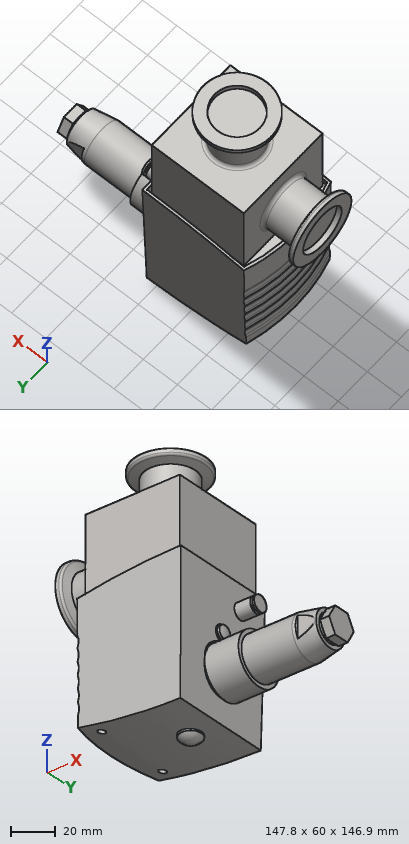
import math

import cadquery as cq


BLOCK_WIDTH = 54.0
BLOCK_TOP = 25.0
BLOCK_HALF = BLOCK_WIDTH / 2

PORT_REACH = 50.0
FLANGE_RADIUS = 20.0
FLANGE_RIM = 2.0
FLANGE_ROUND = 1.25
FLANGE_CONE_ANGLE = math.radians(15)
TUBE_RADIUS = 14.0
TUBE_FILLET = 2.0
BORE_RADIUS = 13.25
BORE_DEPTH = 3.0

COVER_WIDTH = 60.0
COVER_HALF = COVER_WIDTH / 2
COVER_BACK = 30.0
COVER_FRONT = -34.45
COVER_FRONT_BOW = 5.0
COVER_DRAFT = math.tan(math.radians(1))
COVER_TOP = -14.6
COVER_TOP_DROP = 5.8
COVER_BOTTOM_BACK = -93.45
COVER_BOTTOM_MIDDLE = -91.2
COVER_BOTTOM_MIDDLE_X = -3.0
COVER_BOTTOM_FRONT = -85.5
COVER_WALL = 1.5
COVER_FLOOR = -22.0

GROOVE_COUNT = 6
GROOVE_PITCH = 7.0
GROOVE_TOP = -38.2
GROOVE_FLANK_DEPTH = 0.4
GROOVE_DEPTH = 0.6
GROOVE_CLEARANCE = 1.0

SCREW_X = 11.5
SCREW_RADIUS = 6.15
SCREW_DOME_TOP = -93.9
SCREW_BOTTOM = -96.9
SCREW_ROOT = -85.0
VENT_X = -22.0
VENT_Y = 21.6
VENT_RADIUS = 2.0
VENT_TOP = -85.0

BACK_ROOT_X = 20.0

FITTING_Y = 12.8
FITTING_Z = -28.8
FITTING_RADIUS = 4.45
FITTING_GROOVE_RADIUS = 3.0
FITTING_GROOVE_START = 38.7
FITTING_GROOVE_END = 40.0
FITTING_END = 41.1

LAMP_Z = -46.4
LAMP_RIM_RADIUS = 4.5
LAMP_RIM_END = 29.9
LAMP_RADIUS = 3.9
LAMP_DOME_START = 31.1
LAMP_END = 31.6

CONNECTOR_Z = -67.75
NECK_RADIUS = 12.1
PLATE_END = 30.2
PLATE_RISE = 4.0
COLLAR_START = 31.1
COLLAR_END = 50.4
COLLAR_RADIUS = 14.45
BODY_RADIUS = 12.25
CONE_START = 79.2
CONE_END = 91.3
CONE_END_RADIUS = 10.1
FLAT_START = 81.0
FLAT_HALF_WIDTH = 10.2
HEX_NECK_RADIUS = 7.9
HEX_START = 92.5
HEX_END = 97.75
HEX_ACROSS_FLATS = 15.3


def arc_radius(half_chord, rise):
    """Radius of the arc that rises by `rise` over a chord of twice `half_chord`."""
    return (half_chord**2 + rise**2) / (2 * rise)


FRONT_RADIUS = arc_radius(COVER_HALF, COVER_FRONT_BOW)
FRONT_AXIS_X = COVER_FRONT + FRONT_RADIUS


def rod(start_x, end_x, radius, y=0.0, z=0.0):
    """Cylinder along X."""
    return cq.Workplane("YZ", origin=(start_x, y, z)).circle(radius).extrude(end_x - start_x)


def make_port(length):
    """Port standing on z = 0 with its flange face at z = length."""
    turn = math.pi / 2 - FLANGE_CONE_ANGLE
    round_center_r = FLANGE_RADIUS - FLANGE_ROUND
    round_center_z = length - FLANGE_RIM

    def on_round(angle):
        radius = round_center_r + FLANGE_ROUND * math.cos(angle)
        return radius, round_center_z - FLANGE_ROUND * math.sin(angle)

    round_end = on_round(turn)
    cone_drop = (round_end[0] - TUBE_RADIUS) * math.tan(FLANGE_CONE_ANGLE)
    fillet_offset = TUBE_FILLET * (1 - math.sqrt(0.5))
    profile = (
        cq.Workplane("XZ")
        .moveTo(0, 0)
        .lineTo(TUBE_RADIUS + TUBE_FILLET, 0)
        .threePointArc((TUBE_RADIUS + fillet_offset, fillet_offset), (TUBE_RADIUS, TUBE_FILLET))
        .lineTo(TUBE_RADIUS, round_end[1] - cone_drop)
        .lineTo(*round_end)
        .threePointArc(on_round(turn / 2), on_round(0))
        .lineTo(FLANGE_RADIUS, length)
        .lineTo(BORE_RADIUS, length)
        .lineTo(BORE_RADIUS, length - BORE_DEPTH)
        .lineTo(0, length - BORE_DEPTH)
        .close()
    )
    return profile.revolve(360, (0, 0, 0), (0, 1, 0))


def make_valve_block():
    height = BLOCK_TOP - COVER_FLOOR
    block = cq.Workplane("XY", origin=(0, 0, COVER_FLOOR)).rect(BLOCK_WIDTH, BLOCK_WIDTH).extrude(height)
    top_port = make_port(PORT_REACH - BLOCK_TOP).translate((0, 0, BLOCK_TOP))
    side_port = make_port(PORT_REACH - BLOCK_HALF).rotate((0, 0, 0), (0, 1, 0), -90)
    return block.union(top_port).union(side_port.translate((-BLOCK_HALF, 0, 0)))


def front_cylinder(radius):
    """Upright cylinder whose -X side gives the bow of the front wall."""
    height = COVER_TOP - COVER_BOTTOM_BACK
    return cq.Workplane("XY", origin=(FRONT_AXIS_X, 0, COVER_BOTTOM_BACK)).circle(radius).extrude(height)


def make_cover_shell():
    """Side outline, draft of the side walls and bow of the front wall combined."""
    draft_run = (COVER_TOP - COVER_BOTTOM_BACK) * COVER_DRAFT
    length = COVER_BACK - COVER_FRONT
    middle_drop = COVER_TOP_DROP / 4
    side_outline = (
        cq.Workplane("XZ")
        .moveTo(COVER_FRONT, COVER_BOTTOM_FRONT)
        .threePointArc(
            (COVER_BOTTOM_MIDDLE_X, COVER_BOTTOM_MIDDLE),
            (COVER_BACK - draft_run, COVER_BOTTOM_BACK),
        )
        .lineTo(COVER_BACK, COVER_TOP)
        .threePointArc(
            (COVER_BACK - length / 2, COVER_TOP - middle_drop),
            (COVER_FRONT, COVER_TOP - COVER_TOP_DROP),
        )
        .close()
        .extrude(COVER_HALF, both=True)
    )
    width_outline = (
        cq.Workplane("YZ", origin=(COVER_FRONT, 0, 0))
        .polyline([
            (-COVER_HALF, COVER_TOP),
            (COVER_HALF, COVER_TOP),
            (COVER_HALF - draft_run, COVER_BOTTOM_BACK),
            (-COVER_HALF + draft_run, COVER_BOTTOM_BACK),
        ])
        .close()
        .extrude(length)
    )
    return side_outline.intersect(width_outline).intersect(front_cylinder(FRONT_RADIUS))


def make_cover_recess():
    """Open space around the valve block at the top of the cover."""
    length = COVER_BACK - COVER_WALL - COVER_FRONT
    width = COVER_WIDTH - 2 * COVER_WALL
    box = (
        cq.Workplane("XY", origin=(COVER_FRONT + length / 2, 0, COVER_FLOOR))
        .rect(length, width)
        .extrude(COVER_TOP - COVER_FLOOR)
    )
    return box.intersect(front_cylinder(FRONT_RADIUS - COVER_WALL))


def make_groove(top):
    """Ring with straight flanks and a round bottom that cuts one grip groove."""
    quarter = GROOVE_PITCH / 4
    flank_x = COVER_FRONT + GROOVE_FLANK_DEPTH
    outside_x = COVER_FRONT - GROOVE_CLEARANCE
    return (
        cq.Workplane("XZ")
        .moveTo(COVER_FRONT, top)
        .lineTo(flank_x, top - quarter)
        .threePointArc((COVER_FRONT + GROOVE_DEPTH, top - 2 * quarter), (flank_x, top - 3 * quarter))
        .lineTo(COVER_FRONT, top - GROOVE_PITCH)
        .lineTo(outside_x, top - GROOVE_PITCH)
        .lineTo(outside_x, top)
        .close()
        .revolve(360, (FRONT_AXIS_X, 0, 0), (FRONT_AXIS_X, 1, 0))
    )


def make_cover():
    cover = make_cover_shell().cut(make_cover_recess())
    for index in range(GROOVE_COUNT):
        cover = cover.cut(make_groove(GROOVE_TOP - index * GROOVE_PITCH))
    vents = (
        cq.Workplane("XY", origin=(VENT_X, 0, VENT_TOP))
        .pushPoints([(0, -VENT_Y), (0, VENT_Y)])
        .circle(VENT_RADIUS)
        .extrude(COVER_BOTTOM_BACK - VENT_TOP)
    )
    return cover.cut(vents)


def make_screw():
    """Domed screw head under the cover."""
    dome_radius = arc_radius(SCREW_RADIUS, SCREW_DOME_TOP - SCREW_BOTTOM)
    return (
        cq.Workplane("XZ", origin=(SCREW_X, 0, 0))
        .moveTo(0, SCREW_ROOT)
        .lineTo(SCREW_RADIUS, SCREW_ROOT)
        .lineTo(SCREW_RADIUS, SCREW_DOME_TOP)
        .radiusArc((0, SCREW_BOTTOM), dome_radius)
        .close()
        .revolve(360, (0, 0, 0), (0, 1, 0))
    )


def make_fitting():
    """Air fitting with a ring groove near its end."""
    stem = rod(BACK_ROOT_X, FITTING_GROOVE_START, FITTING_RADIUS, FITTING_Y, FITTING_Z)
    core = rod(BACK_ROOT_X, FITTING_END, FITTING_GROOVE_RADIUS, FITTING_Y, FITTING_Z)
    lip = rod(FITTING_GROOVE_END, FITTING_END, FITTING_RADIUS, FITTING_Y, FITTING_Z)
    return stem.union(core).union(lip)


def make_lamp():
    """Indicator lamp: a rim and a slightly domed lens."""
    dome_radius = arc_radius(LAMP_RADIUS, LAMP_END - LAMP_DOME_START)
    rim = rod(BACK_ROOT_X, LAMP_RIM_END, LAMP_RIM_RADIUS, z=LAMP_Z)
    lens = (
        cq.Workplane("XY", origin=(0, 0, LAMP_Z))
        .moveTo(BACK_ROOT_X, 0)
        .lineTo(BACK_ROOT_X, LAMP_RADIUS)
        .lineTo(LAMP_DOME_START, LAMP_RADIUS)
        .radiusArc((LAMP_END, 0), dome_radius)
        .close()
        .revolve(360, (0, 0, 0), (1, 0, 0))
    )
    return rim.union(lens)


def make_connector():
    """Turned connector with two side flats on its cone and a hexagon at the end."""
    turned = (
        cq.Workplane("XY", origin=(0, 0, CONNECTOR_Z))
        .polyline([
            (BACK_ROOT_X, 0),
            (BACK_ROOT_X, NECK_RADIUS),
            (COLLAR_START, NECK_RADIUS),
            (COLLAR_START, COLLAR_RADIUS),
            (COLLAR_END, COLLAR_RADIUS),
            (COLLAR_END, BODY_RADIUS),
            (CONE_START, BODY_RADIUS),
            (CONE_END, CONE_END_RADIUS),
            (CONE_END, HEX_NECK_RADIUS),
            (HEX_START, HEX_NECK_RADIUS),
            (HEX_START, 0),
        ])
        .close()
        .revolve(360, (0, 0, 0), (1, 0, 0))
    )
    flat_cut = (
        cq.Workplane("XY", origin=(FLAT_START, FLAT_HALF_WIDTH, CONNECTOR_Z))
        .box(CONE_END - FLAT_START, BODY_RADIUS, 2 * BODY_RADIUS, centered=(False, False, True))
    )
    turned = turned.cut(flat_cut).cut(flat_cut.mirror("XZ"))
    hexagon = (
        cq.Workplane("YZ", origin=(HEX_START, 0, CONNECTOR_Z))
        .polygon(6, HEX_ACROSS_FLATS / math.cos(math.pi / 6))
        .extrude(HEX_END - HEX_START)
    )
    plate = (
        cq.Workplane("YZ", origin=(BACK_ROOT_X, 0, CONNECTOR_Z + PLATE_RISE / 2))
        .slot2D(PLATE_RISE + 2 * NECK_RADIUS, 2 * NECK_RADIUS, 90)
        .extrude(PLATE_END - BACK_ROOT_X)
    )
    return turned.union(hexagon).union(plate)


result = (
    make_cover()
    .union(make_valve_block())
    .union(make_screw())
    .union(make_fitting())
    .union(make_lamp())
    .union(make_connector())
)